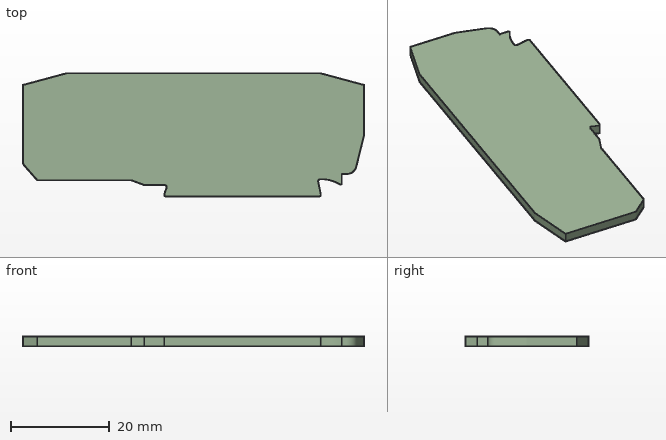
import cadquery as cq
import math

length = 69.1
width = 25.0
thickness = 2.0

back_taper_length = 8.9
back_taper_depth = 2.4

left_edge_start = 6.6
left_corner_radius = 1.0
front_edge_y = 3.3
left_cut_length = 2.9
step_start_x = 21.9
step_end_x = 24.6
step_y = 2.3

foot_root_left_x = 29.25
foot_tip_left_x = 28.45
foot_root_right_x = 59.7
foot_tip_right_x = 60.45
foot_corner_radius = 0.4

hook_root_y = 3.5
hook_arc_start_x = 60.4
hook_x = 64.6
hook_arc_radius = 7.3
hook_tip_radius = 0.3

right_shelf_y = 4.55
right_slope_bottom_x = 67.15
right_slope_top_y = 12.4
right_corner_radius = 2.0


def hook_arc_point(x):
    """Point on the hook's underside arc, which leaves the foot root horizontally."""
    run = x - hook_arc_start_x
    drop = hook_arc_radius - math.sqrt(hook_arc_radius**2 - run**2)
    return (x, hook_root_y - drop)


def build_plate():
    """Extrude the outline with all its corners still sharp."""
    hook_arc_middle_x = (hook_arc_start_x + hook_x) / 2
    return (
        cq.Workplane("XY")
        .moveTo(0, left_edge_start)
        .lineTo(left_cut_length, front_edge_y)
        .lineTo(step_start_x, front_edge_y)
        .lineTo(step_end_x, step_y)
        .lineTo(foot_root_left_x, step_y)
        .lineTo(foot_tip_left_x, 0)
        .lineTo(foot_tip_right_x, 0)
        .lineTo(foot_root_right_x, hook_root_y)
        .lineTo(hook_arc_start_x, hook_root_y)
        .threePointArc(hook_arc_point(hook_arc_middle_x), hook_arc_point(hook_x))
        .lineTo(hook_x, right_shelf_y)
        .lineTo(right_slope_bottom_x, right_shelf_y)
        .lineTo(length, right_slope_top_y)
        .lineTo(length, width - back_taper_depth)
        .lineTo(length - back_taper_length, width)
        .lineTo(back_taper_length, width)
        .lineTo(0, width - back_taper_depth)
        .close()
        .extrude(thickness)
    )


def round_corner(body, corner, radius):
    """Round the vertical edge standing on the outline point nearest to corner."""
    nearest = cq.selectors.NearestToPointSelector((*corner, thickness / 2))
    return body.edges("|Z").edges(nearest).fillet(radius)


foot_corners = [
    (foot_root_left_x, step_y),
    (foot_tip_left_x, 0),
    (foot_tip_right_x, 0),
    (foot_root_right_x, hook_root_y),
]

result = build_plate()
result = round_corner(result, (0, left_edge_start), left_corner_radius)
for foot_corner in foot_corners:
    result = round_corner(result, foot_corner, foot_corner_radius)
result = round_corner(result, hook_arc_point(hook_x), hook_tip_radius)
result = round_corner(result, (right_slope_bottom_x, right_shelf_y), right_corner_radius)